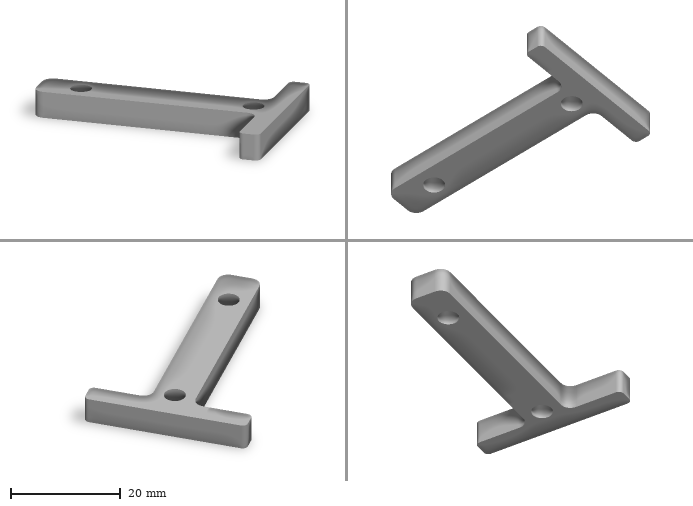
import cadquery as cq

length = 47.0
bar_width = 31.0
thickness = 5.0

stem_width = 8.0
bar_depth = 4.0
stem_end_radius = 2.0
inner_corner_radius = 2.0
bar_corner_radius = 1.0

hole_diameter = 4.0
end_hole_x = 8.0
bar_hole_x = 41.0

stem_length = length - bar_depth


def plate(x_start, x_size, y_size):
    """Flat plate centred on the X axis, resting on Z = 0."""
    return (
        cq.Workplane("XY")
        .box(x_size, y_size, thickness, centered=(False, True, False))
        .translate((x_start, 0, 0))
    )


stem = plate(0, stem_length, stem_width).edges("|Z and <X").fillet(stem_end_radius)
crossbar = plate(stem_length, bar_depth, bar_width).edges("|Z").fillet(bar_corner_radius)
body = stem.union(crossbar)

selection_margin = 0.45
inner_corners = cq.selectors.BoxSelector(
    (stem_length - selection_margin, -stem_width, 0),
    (stem_length + selection_margin, stem_width, thickness),
)
body = body.edges("|Z").edges(inner_corners).fillet(inner_corner_radius)

result = (
    body.faces(">Z")
    .workplane(origin=(0, 0, thickness))
    .pushPoints([(end_hole_x, 0), (bar_hole_x, 0)])
    .hole(hole_diameter)
)